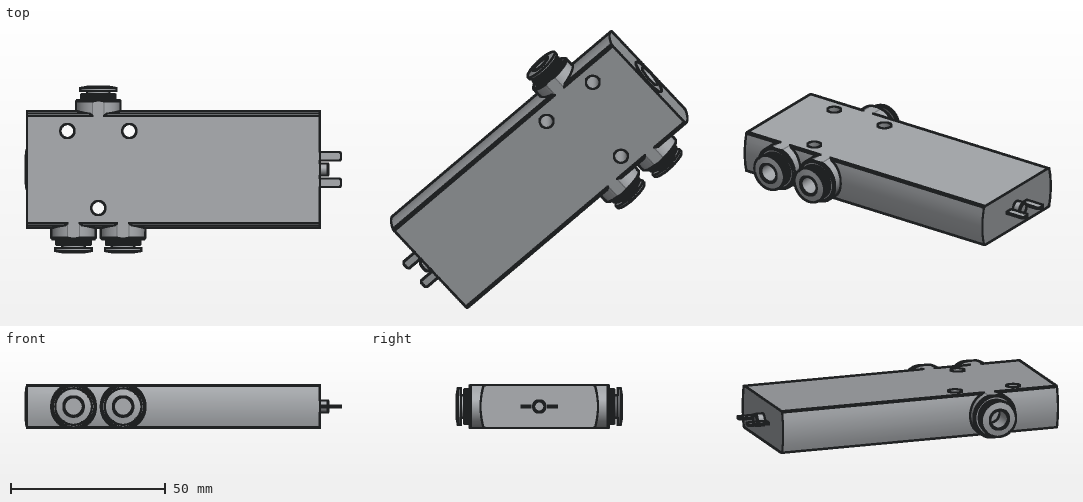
import cadquery as cq

BODY_START = 0.5
BODY_END = 95.2
BODY_WIDTH = 38.0
BODY_HEIGHT = 14.0
SIDE_EDGE_WIDTH = 36.1
TOP_FACE_WIDTH = 34.7
BEVEL_HEIGHT = 0.3

HOLE_DIAMETER = 4.5
HOLE_OFFSET_Y = 12.5
HOLE_PITCH = 20.0

PORT_CENTER_X = 23.6
PORT_PITCH = 16.0
OVERALL_WIDTH = 53.6
FITTING_END = OVERALL_WIDTH / 2
FITTING_ROOT = 16.3
BOSS_DIAMETER = 14.5
BOSS_END = 22.6
BOSS_CHAMFER = 0.5
COLLAR_DIAMETER = 11.2
COLLAR_END = 24.4
COLLAR_CHAMFER = 0.3
GROOVE_DIAMETER = 10.8
GROOVE_START = 23.0
GROOVE_END = 23.5
NECK_DIAMETER = 7.4
RING_DIAMETER = 11.8
RING_START = 25.3
RING_EDGE = 26.3
BORE_DIAMETER = 6.0
BORE_DEPTH = 8.2
BORE_MOUTH_DIAMETER = 6.6
BORE_MOUTH_DEPTH = 0.3

PAD_DIAMETER = 12.6
PAD_RIM = 0.2
RECESS_DIAMETER = 7.4
RECESS_FLOOR_DIAMETER = 2.0
RECESS_DEPTH = 2.7

STUD_DIAMETER = 4.0
STUD_LENGTH = 2.8
STUD_CHAMFER = 0.3
CONTACT_END = 102.1
CONTACT_WIDTH = 2.9
CONTACT_THICKNESS = 0.5
CONTACT_OFFSET_Y = 4.3
CONTACT_CHAMFER = 0.5


def body():
    half_width = BODY_WIDTH / 2
    edge_y = SIDE_EDGE_WIDTH / 2
    top_y = TOP_FACE_WIDTH / 2
    top_z = BODY_HEIGHT / 2
    edge_z = top_z - BEVEL_HEIGHT
    section = (
        cq.Workplane("YZ", origin=(BODY_START, 0, 0))
        .moveTo(-top_y, top_z)
        .lineTo(top_y, top_z)
        .lineTo(edge_y, edge_z)
        .threePointArc((half_width, 0), (edge_y, -edge_z))
        .lineTo(top_y, -top_z)
        .lineTo(-top_y, -top_z)
        .lineTo(-edge_y, -edge_z)
        .threePointArc((-half_width, 0), (-edge_y, edge_z))
        .close()
    )
    return section.extrude(BODY_END - BODY_START)


def mounting_holes():
    places = [
        (PORT_CENTER_X - HOLE_PITCH / 2, HOLE_OFFSET_Y),
        (PORT_CENTER_X + HOLE_PITCH / 2, HOLE_OFFSET_Y),
        (PORT_CENTER_X, -HOLE_OFFSET_Y),
    ]
    drill = cq.Workplane("XY", origin=(0, 0, -BODY_HEIGHT / 2)).pushPoints(places)
    return drill.circle(HOLE_DIAMETER / 2).extrude(BODY_HEIGHT)


def fitting_solid():
    """Fitting turned about the Y axis, pointing towards +Y."""
    boss_r = BOSS_DIAMETER / 2
    collar_r = COLLAR_DIAMETER / 2
    groove_r = GROOVE_DIAMETER / 2
    neck_r = NECK_DIAMETER / 2
    ring_r = RING_DIAMETER / 2
    mouth_r = BORE_MOUTH_DIAMETER / 2
    profile = (
        cq.Workplane("XY")
        .moveTo(0, FITTING_ROOT)
        .lineTo(boss_r, FITTING_ROOT)
        .lineTo(boss_r, BOSS_END - BOSS_CHAMFER)
        .lineTo(boss_r - BOSS_CHAMFER, BOSS_END)
        .lineTo(collar_r, BOSS_END)
        .lineTo(collar_r, GROOVE_START)
        .lineTo(groove_r, GROOVE_START)
        .lineTo(groove_r, GROOVE_END)
        .lineTo(collar_r, GROOVE_END)
        .lineTo(collar_r, COLLAR_END - COLLAR_CHAMFER)
        .lineTo(collar_r - COLLAR_CHAMFER, COLLAR_END)
        .lineTo(neck_r, COLLAR_END)
        .lineTo(neck_r, RING_START)
        .lineTo(ring_r, RING_START)
        .lineTo(ring_r, RING_EDGE)
        .lineTo(mouth_r, FITTING_END)
        .lineTo(0, FITTING_END)
        .close()
    )
    fitting = profile.revolve(360, (0, 0, 0), (0, 1, 0))
    flats = cq.Workplane("XY").box(2 * BOSS_DIAMETER, 2 * FITTING_END, BODY_HEIGHT)
    return fitting.intersect(flats)


def fitting_bore():
    bore_r = BORE_DIAMETER / 2
    profile = (
        cq.Workplane("XY")
        .moveTo(0, FITTING_END - BORE_DEPTH)
        .lineTo(bore_r, FITTING_END - BORE_DEPTH)
        .lineTo(bore_r, FITTING_END - BORE_MOUTH_DEPTH)
        .lineTo(BORE_MOUTH_DIAMETER / 2, FITTING_END)
        .lineTo(0, FITTING_END)
        .close()
    )
    return profile.revolve(360, (0, 0, 0), (0, 1, 0))


def place_at_port(shape, port_x, turn):
    return shape.rotate((0, 0, 0), (0, 0, 1), turn).translate((port_x, 0, 0))


def cone_along_x(start_diameter, end_diameter, length):
    """Truncated cone from x = 0 to x = length."""
    return (
        cq.Workplane("YZ")
        .circle(start_diameter / 2)
        .workplane(offset=length)
        .circle(end_diameter / 2)
        .loft()
    )


def override_pad():
    rim_start = BODY_START - PAD_RIM
    rim = cq.Workplane("YZ", origin=(rim_start, 0, 0)).circle(PAD_DIAMETER / 2).extrude(PAD_RIM)
    return rim.union(cone_along_x(RECESS_DIAMETER, PAD_DIAMETER, rim_start))


def override_recess():
    return cone_along_x(RECESS_DIAMETER, RECESS_FLOOR_DIAMETER, RECESS_DEPTH)


def stud():
    post = cq.Workplane("YZ", origin=(BODY_END, 0, 0)).circle(STUD_DIAMETER / 2).extrude(STUD_LENGTH)
    return post.faces(">X").chamfer(STUD_CHAMFER)


def contact(center_y):
    length = CONTACT_END - BODY_END
    blade = cq.Workplane("XY").box(length, CONTACT_WIDTH, CONTACT_THICKNESS)
    blade = blade.edges("|Z and >X").chamfer(CONTACT_CHAMFER)
    return blade.translate((BODY_END + length / 2, center_y, 0))


result = body().cut(mounting_holes())

fitting_places = [
    (PORT_CENTER_X, 0),
    (PORT_CENTER_X - PORT_PITCH / 2, 180),
    (PORT_CENTER_X + PORT_PITCH / 2, 180),
]
for port_x, turn in fitting_places:
    result = result.union(place_at_port(fitting_solid(), port_x, turn))
    result = result.cut(place_at_port(fitting_bore(), port_x, turn))

result = result.union(override_pad()).cut(override_recess())
result = result.union(stud())
for side in (-1, 1):
    result = result.union(contact(side * CONTACT_OFFSET_Y))